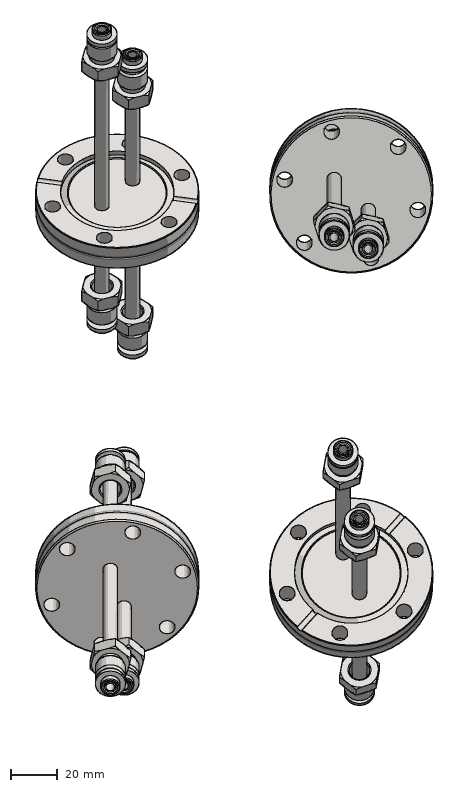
import cadquery as cq
import math

TOTAL_HEIGHT = 209.0
STAGGER = 30.0
LINE_LENGTH = TOTAL_HEIGHT - STAGGER
HIGH_LINE_TOP = 117.2
HIGH_LINE_MIDDLE = HIGH_LINE_TOP - LINE_LENGTH / 2
LOW_LINE_MIDDLE = HIGH_LINE_MIDDLE - STAGGER
TUBE_OFFSET = 10.0
LINES = [(-TUBE_OFFSET, HIGH_LINE_MIDDLE), (TUBE_OFFSET, LOW_LINE_MIDDLE)]

FLANGE_RADIUS = 69.8 / 2
FLANGE_THICKNESS = 12.7
RIM_CHAMFER = 0.6
TOP_RIM_CHAMFER = 0.31
BOLT_COUNT = 6
BOLT_CIRCLE_RADIUS = 29.3
BOLT_HOLE_DIAMETER = 6.7
RECESS_RADIUS = 24.2
RECESS_DEPTH = 2.3
KNIFE_RADIUS = 21.3
KNIFE_DEPTH = 1.0
FLOOR_RADIUS = 21.0
FLOOR_DEPTH = 1.5
RIM_GROOVE_TOP = 7.3
RIM_GROOVE_HEIGHT = 1.7
RIM_GROOVE_DEPTH = 0.2
LEAK_GROOVE_RADIUS = 1.3
LEAK_GROOVE_ANGLE = 30.0

TUBE_RADIUS = 3.1
BORE_RADIUS = 1.9
GLAND_LENGTH = 16.7
GLAND_NECK_RADIUS = 3.5
TIP_RADIUS = 4.2
TIP_CHAMFER = 0.5
BEAD_INNER_RADIUS = 3.1
BEAD_FOOT_RADIUS = 2.5
BEAD_HEIGHT = 0.5
COLLAR_RADIUS = 6.5
COLLAR_START = 3.0
COLLAR_THICKNESS = 2.0
COLLAR_END = COLLAR_START + COLLAR_THICKNESS

NUT_LENGTH = 18.2
NUT_BORE_RADIUS = 4.4
NUT_MOUTH_CHAMFER = 0.52
THREAD_RADIUS = 6.5
THREAD_LENGTH = 9.2
RELIEF_RADIUS = 5.54
HEX_HEIGHT = 7.0
HEX_ACROSS_FLATS = 15.9
HEX_CORNER_RADIUS = HEX_ACROSS_FLATS / math.sqrt(3)
HEX_CHAMFER = 1.0
HEX_CHAMFER_HEIGHT = 0.6
NUT_GAP = 1.9


def disc(radius, height, start=0.0):
    return cq.Workplane("XY").workplane(offset=start).circle(radius).extrude(height)


def revolve_profile(points):
    """Turn an (r, z) outline around the Z axis."""
    return cq.Workplane("XZ").polyline(points).close().revolve(360, (0, 0), (0, 1))


def make_flange():
    flange = make_flange_blank()
    bolt_holes = (
        cq.Workplane("XY")
        .polarArray(BOLT_CIRCLE_RADIUS, 0, 360, BOLT_COUNT)
        .circle(BOLT_HOLE_DIAMETER / 2)
        .extrude(FLANGE_THICKNESS)
    )
    return flange.cut(bolt_holes).cut(make_leak_grooves())


def make_flange_blank():
    """Flange with a recess whose floor slopes down outward from a knife edge, and a V-groove in the rim."""
    top = FLANGE_THICKNESS
    floor = top - FLOOR_DEPTH
    return revolve_profile([
        (0, 0),
        (FLANGE_RADIUS - RIM_CHAMFER, 0),
        (FLANGE_RADIUS, RIM_CHAMFER),
        (FLANGE_RADIUS, RIM_GROOVE_TOP - RIM_GROOVE_HEIGHT),
        (FLANGE_RADIUS - RIM_GROOVE_DEPTH, RIM_GROOVE_TOP - RIM_GROOVE_HEIGHT / 2),
        (FLANGE_RADIUS, RIM_GROOVE_TOP),
        (FLANGE_RADIUS, top - TOP_RIM_CHAMFER),
        (FLANGE_RADIUS - TOP_RIM_CHAMFER, top),
        (RECESS_RADIUS, top),
        (RECESS_RADIUS, top - RECESS_DEPTH),
        (KNIFE_RADIUS, top - KNIFE_DEPTH),
        (FLOOR_RADIUS, floor),
        (0, floor),
    ])


def make_leak_grooves():
    """Two opposite round-bottomed grooves in the top face, from the recess out through the rim."""
    start = RECESS_RADIUS - LEAK_GROOVE_RADIUS
    end = FLANGE_RADIUS + LEAK_GROOVE_RADIUS
    groove = (
        cq.Workplane("YZ", origin=(start, 0, FLANGE_THICKNESS))
        .moveTo(-LEAK_GROOVE_RADIUS, 0)
        .threePointArc((0, -LEAK_GROOVE_RADIUS), (LEAK_GROOVE_RADIUS, 0))
        .lineTo(LEAK_GROOVE_RADIUS, LEAK_GROOVE_RADIUS)
        .lineTo(-LEAK_GROOVE_RADIUS, LEAK_GROOVE_RADIUS)
        .close()
        .extrude(end - start)
    )
    grooves = cq.Workplane("XY")
    for angle in (LEAK_GROOVE_ANGLE, LEAK_GROOVE_ANGLE + 180):
        grooves = grooves.add(groove.rotate((0, 0, 0), (0, 0, 1), angle))
    return grooves.combine()


def make_tube():
    """Tube with a gland at each end, centred on z = 0."""
    tip = LINE_LENGTH / 2
    upper_half = [
        (TUBE_RADIUS, tip - GLAND_LENGTH),
        (GLAND_NECK_RADIUS, tip - GLAND_LENGTH),
        (GLAND_NECK_RADIUS, tip - COLLAR_END),
        (COLLAR_RADIUS, tip - COLLAR_END),
        (COLLAR_RADIUS, tip - COLLAR_START),
        (TIP_RADIUS, tip - COLLAR_START),
        (TIP_RADIUS, tip - TIP_CHAMFER),
        (TIP_RADIUS - TIP_CHAMFER, tip),
        (BEAD_INNER_RADIUS, tip),
        (BEAD_FOOT_RADIUS, tip - BEAD_HEIGHT),
        (BORE_RADIUS, tip - BEAD_HEIGHT),
    ]
    lower_half = [(r, -z) for r, z in reversed(upper_half)]
    return revolve_profile(upper_half + lower_half)


def make_feedthrough():
    """Flange with both glanded tubes welded through it."""
    body = make_flange()
    tube = make_tube()
    for y, middle in LINES:
        body = body.cut(disc(TUBE_RADIUS, FLANGE_THICKNESS).translate((0, y, 0)))
        body = body.union(tube.translate((0, y, middle)))
    return body


def make_nut():
    """Nut with its thread pointing up; the hex stands on z = 0."""
    hexagon = cq.Workplane("XY").polygon(6, 2 * HEX_CORNER_RADIUS).extrude(HEX_HEIGHT)
    face_radius = HEX_CORNER_RADIUS - HEX_CHAMFER
    hex_trim = revolve_profile([
        (0, 0),
        (face_radius, 0),
        (HEX_CORNER_RADIUS, HEX_CHAMFER_HEIGHT),
        (HEX_CORNER_RADIUS, HEX_HEIGHT - HEX_CHAMFER_HEIGHT),
        (face_radius, HEX_HEIGHT),
        (0, HEX_HEIGHT),
    ])
    relief = disc(RELIEF_RADIUS, NUT_LENGTH)
    thread = disc(THREAD_RADIUS, THREAD_LENGTH, NUT_LENGTH - THREAD_LENGTH)
    thread = thread.faces("<Z or >Z").edges().chamfer(THREAD_RADIUS - RELIEF_RADIUS)
    nut = hexagon.intersect(hex_trim).union(relief).union(thread)
    bore = revolve_profile([
        (0, 0),
        (NUT_BORE_RADIUS + NUT_MOUTH_CHAMFER, 0),
        (NUT_BORE_RADIUS, NUT_MOUTH_CHAMFER),
        (NUT_BORE_RADIUS, NUT_LENGTH),
        (0, NUT_LENGTH),
    ])
    return nut.cut(bore)


def make_placed_nut(y, middle, end, gap):
    """Nut on the upper (end = 1) or lower (end = -1) gland of a line."""
    nut = make_nut().translate((0, 0, LINE_LENGTH / 2 - COLLAR_END - gap - NUT_LENGTH))
    if end < 0:
        nut = nut.mirror("XY")
    return nut.translate((0, y, middle))


feedthrough = make_feedthrough()

nuts = []
for line_y, line_middle in LINES:
    for line_end in (1, -1):
        seated = line_middle == HIGH_LINE_MIDDLE and line_end == 1
        nut_gap = 0 if seated else NUT_GAP
        nuts.append(make_placed_nut(line_y, line_middle, line_end, nut_gap))

result = cq.Compound.makeCompound([feedthrough.solids().val(), *[nut.solids().val() for nut in nuts]])